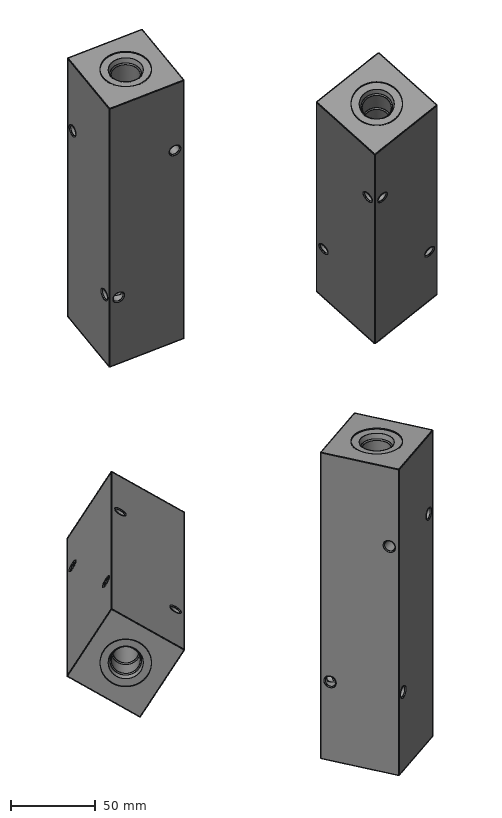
import cadquery as cq

width = 50.7
length = 209.5
top = length / 2

edge_chamfer = 0.31

bore_diameter = 15.7
spotface_diameter = 30.4
spotface_depth = 0.73

seal_mouth_diameter = 20.7
seal_floor_diameter = 18.6
seal_depth = 3.1
thread_diameter = 17.2
thread_depth = 17.4

hole_diameter = 6.7
hole_mouth_diameter = 8.0
hole_chamfer = (hole_mouth_diameter - hole_diameter) / 2
hole_offset = 19.0
hole_height = width


def make_port_cutter():
    """Solid of revolution removed from the top end, down to the centre of the block."""
    bore_radius = bore_diameter / 2
    thread_radius = thread_diameter / 2
    seal_floor_radius = seal_floor_diameter / 2
    spotface_floor = top - spotface_depth
    seal_floor = spotface_floor - seal_depth
    lead_in_floor = seal_floor - (seal_floor_radius - thread_radius)
    thread_floor = spotface_floor - thread_depth
    shoulder_floor = thread_floor - (thread_radius - bore_radius)
    profile = [
        (0, 0),
        (bore_radius, 0),
        (bore_radius, shoulder_floor),
        (thread_radius, thread_floor),
        (thread_radius, lead_in_floor),
        (seal_floor_radius, seal_floor),
        (seal_mouth_diameter / 2, spotface_floor),
        (spotface_diameter / 2, spotface_floor),
        (spotface_diameter / 2, top),
        (0, top),
    ]
    return cq.Workplane("XZ").polyline(profile).close().revolve(360, (0, 0), (0, 1))


def make_cross_hole_cutter(x, z):
    """Hole along Y through the block, chamfered at both faces."""
    half = width / 2
    radius = hole_diameter / 2
    mouth_radius = hole_mouth_diameter / 2
    profile = [
        (0, -half),
        (mouth_radius, -half),
        (radius, -half + hole_chamfer),
        (radius, half - hole_chamfer),
        (mouth_radius, half),
        (0, half),
    ]
    cutter = cq.Workplane("XY").polyline(profile).close().revolve(360, (0, 0), (0, 1))
    return cutter.translate((x, 0, z))


result = cq.Workplane("XY").box(width, width, length).edges().chamfer(edge_chamfer)

port_cutter = make_port_cutter()
result = result.cut(port_cutter).cut(port_cutter.mirror("XY"))

for side in (-1, 1):
    cross_hole = make_cross_hole_cutter(side * hole_offset, -side * hole_height)
    result = result.cut(cross_hole)
    result = result.cut(cross_hole.rotate((0, 0, 0), (0, 0, 1), -90))